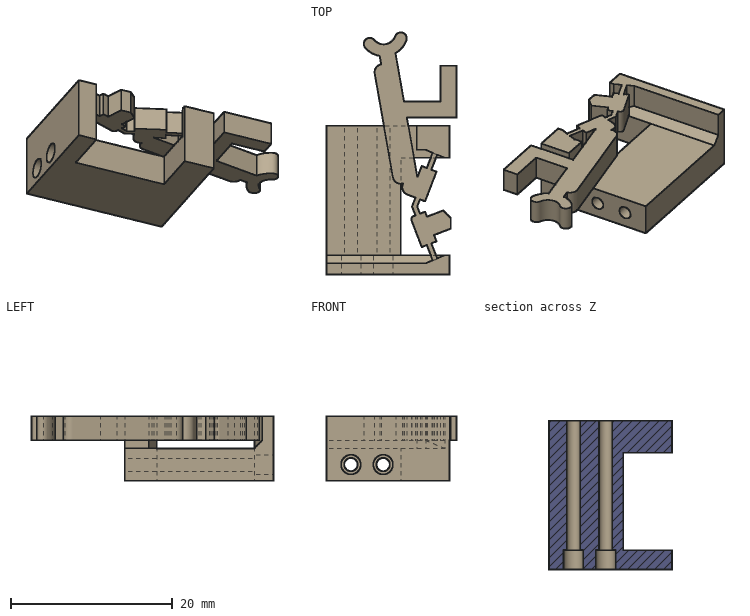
import cadquery as cq
import math

total_length = 29.95
total_width = 16.08
total_height = 8.0

base_width = 15.2
base_length = 18.42
base_height = 4.0
main_block_width = 9.2
front_arm_length = 2.4
rear_arm_length = 3.98
wall_relief = 1.0
slant_start_x = 12.28
slant_end_x = 14.62
rear_wall_left_x = 11.17

hole_xs = (3.02, 7.0)
hole_z = base_height / 2
hole_diameter = 1.62
counterbore_diameter = 2.43
counterbore_depth = front_arm_length

mechanism_thickness = 3.0
mechanism_bottom = total_height - mechanism_thickness
rear_arm_front_y = base_length - rear_arm_length
knee_x = 10.9
knee_y = (front_arm_length + rear_arm_front_y) / 2
link_angle = 21.0
flexure_width = 0.63
flexure_length = 7.07
link_start = 1.05
link_end = 5.0
link_half_width = 1.0
link_corner_radius = 0.45

boss_start = 1.7
boss_end = 4.15
boss_right_x = 15.4
boss_chamfer = 0.95

foot_left = -2.37
foot_end = 3.0
corner_radius = 1.0

lever_angle = 10.0
lever_right_x = 11.23
lever_width = 3.0
lever_start = -0.57
lever_end = 14.4
neck_width = 2.0
cup_radius = 2.25
cup_half_width = 0.75
cup_half_angle = 60.0
cup_station = 18.27

hook_thickness = 2.0
hook_front_y = 19.4
hook_end_y = 25.85

cup_tip_reach = cup_radius * math.sin(math.radians(cup_half_angle))
cup_tip_drop = cup_radius * math.cos(math.radians(cup_half_angle))
lever_sin = math.sin(math.radians(lever_angle))
lever_cos = math.cos(math.radians(lever_angle))
lever_origin_y = (
    total_length
    - cup_half_width
    - (cup_station - cup_tip_drop) * lever_cos
    - (cup_tip_reach - neck_width / 2) * lever_sin
)


def box(x0, x1, y0, y1, z0, z1):
    return cq.Workplane("XY").box(x1 - x0, y1 - y0, z1 - z0, centered=False).translate((x0, y0, z0))


def plate(x0, x1, y0, y1):
    """Rectangle with the thickness of the mechanism."""
    return box(x0, x1, y0, y1, mechanism_bottom, total_height)


def prism(points, bottom):
    return cq.Workplane("XY").workplane(offset=bottom).polyline(points).close().extrude(total_height - bottom)


def make_base():
    base = box(0, main_block_width, 0, base_length, 0, base_height)
    base = base.union(box(0, base_width, 0, front_arm_length, 0, base_height))
    return base.union(box(0, base_width, rear_arm_front_y, base_length, 0, base_height))


def make_wall(left_x, outer_y, edge_y, relief_y):
    """Wall above an arm, widening towards its edge along a slanted face."""
    outline = [
        (left_x, outer_y),
        (base_width, outer_y),
        (base_width, edge_y),
        (slant_end_x, edge_y),
        (slant_start_x, relief_y),
        (left_x, relief_y),
    ]
    return prism(outline, base_height)


def make_wall_gusset():
    """Sloped foot along the inside of the front wall."""
    relief_y = front_arm_length - wall_relief
    profile = [
        (relief_y, base_height),
        (front_arm_length, base_height),
        (relief_y, base_height + wall_relief),
    ]
    return cq.Workplane("YZ").polyline(profile).close().extrude(base_width)


def make_holes():
    centers = [(x, hole_z) for x in hole_xs]
    plane = cq.Workplane("XZ").pushPoints(centers)
    through = plane.circle(hole_diameter / 2).extrude(-base_length)
    counterbores = plane.circle(counterbore_diameter / 2).extrude(-counterbore_depth)
    return through.union(counterbores)


def place_rear_link(shape):
    return shape.rotate((0, 0, 0), (0, 0, 1), -link_angle).translate((knee_x, knee_y, 0))


def place_front_link(shape):
    """Mirror image of the rear link placement about the knee."""
    return shape.mirror("XZ").rotate((0, 0, 0), (0, 0, 1), link_angle).translate((knee_x, knee_y, 0))


def make_link():
    """Link block, along +Y from the knee."""
    return plate(-link_half_width, link_half_width, link_start, link_end)


def make_flexure():
    """Thin strip from the knee to the wall, pointed at the knee so two strips meet in a mitre."""
    half = flexure_width / 2
    mitre = half * math.tan(math.radians(link_angle))
    outline = [(-half, -mitre), (half, mitre), (half, flexure_length), (-half, flexure_length)]
    return prism(outline, mechanism_bottom)


def make_rear_link():
    foot = plate(foot_left, link_half_width, link_start, foot_end)
    foot = foot.edges("|Z and <X and <Y").fillet(corner_radius)
    return place_rear_link(make_link().union(foot).union(make_flexure()))


def make_front_link():
    link = make_link().edges("|Z and <X and <Y").fillet(link_corner_radius)
    return place_front_link(link.union(make_flexure()))


def front_link_y(station, x):
    """Y at the given X on the line crossing the front link at a station."""
    angle = math.radians(link_angle)
    return knee_y - station / math.cos(angle) + (x - knee_x) * math.tan(angle)


def make_boss():
    chamfer_x = boss_right_x - boss_chamfer
    chamfer_y = front_link_y(boss_start, chamfer_x)
    root_x = knee_x + (boss_start + boss_end) / 2 * math.sin(math.radians(link_angle))
    outline = [
        (root_x, front_link_y(boss_start, root_x)),
        (chamfer_x, chamfer_y),
        (boss_right_x, chamfer_y - boss_chamfer),
        (boss_right_x, front_link_y(boss_end, boss_right_x)),
        (root_x, front_link_y(boss_end, root_x)),
    ]
    return prism(outline, mechanism_bottom)


def make_cup():
    """Arc-shaped band with round ends, open along +Y."""
    half_angle = math.radians(cup_half_angle)

    def point(radius, angle):
        return (radius * math.sin(angle), -radius * math.cos(angle))

    inner = cup_radius - cup_half_width
    outer = cup_radius + cup_half_width
    tip_radius = math.hypot(cup_radius, cup_half_width)
    tip_angle = half_angle + math.atan(cup_half_width / cup_radius)
    return (
        cq.Workplane("XY")
        .workplane(offset=mechanism_bottom)
        .moveTo(*point(outer, -half_angle))
        .threePointArc(point(outer, 0), point(outer, half_angle))
        .threePointArc(point(tip_radius, tip_angle), point(inner, half_angle))
        .threePointArc(point(inner, 0), point(inner, -half_angle))
        .threePointArc(point(tip_radius, -tip_angle), point(outer, -half_angle))
        .close()
        .extrude(mechanism_thickness)
    )


def make_lever():
    """Lever along +Y with its right side on X = 0, then leaned into place."""
    bar = plate(-lever_width, 0, lever_start, lever_end).edges("|Z and <X").fillet(corner_radius)
    neck = plate(-neck_width, 0, lever_start, cup_station - cup_radius)
    cup = make_cup().translate((-neck_width / 2, cup_station, 0))
    lever = bar.union(neck).union(cup)
    return lever.rotate((0, 0, 0), (0, 0, 1), lever_angle).translate((lever_right_x, lever_origin_y, 0))


def make_hook():
    root_x = lever_right_x - lever_width
    crossbar = plate(root_x, total_width, hook_front_y, hook_front_y + hook_thickness)
    upright = plate(total_width - hook_thickness, total_width, hook_front_y, hook_end_y)
    return crossbar.union(upright)


front_wall = make_wall(0, 0, front_arm_length, front_arm_length - wall_relief)
rear_wall = make_wall(rear_wall_left_x, base_length, rear_arm_front_y, rear_arm_front_y + wall_relief)

result = make_base().union(front_wall).union(rear_wall).union(make_wall_gusset()).cut(make_holes())
for part in (make_rear_link(), make_front_link(), make_boss(), make_lever(), make_hook()):
    result = result.union(part)